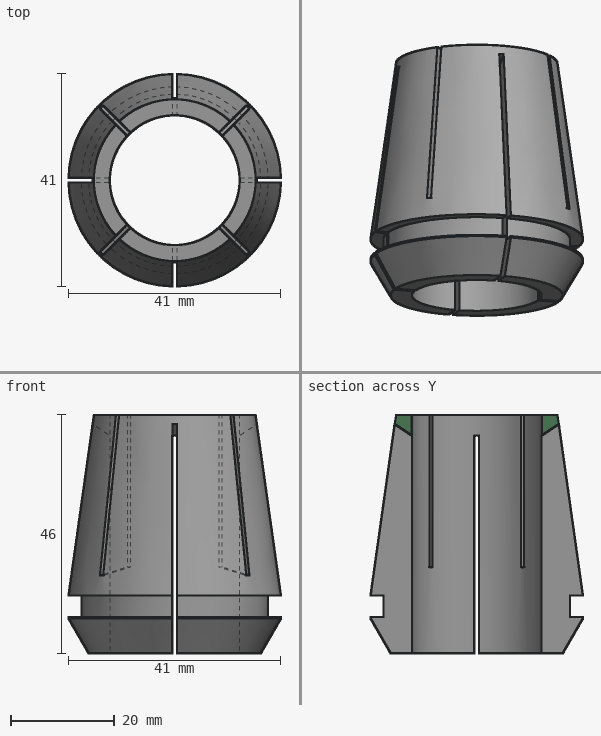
import cadquery as cq
import math

height = 46.0
max_radius = 20.5
bore_radius = 12.5
taper_angle = 8.0
nose_angle = 30.0

nose_height = 6.75
flange_top = 7.05
groove_top = 11.15
groove_radius = 18.05

slit_width = 0.87
slits_per_set = 4
slit_spacing = 360 / slits_per_set
slit_reach = max_radius + 0.45
slit_margin = 0.45
lower_slit_top_at_bore = 42.0
lower_slit_top_outside = 44.25
lower_slit_outside_radius = 15.85
upper_slit_floor_at_bore = 16.65
upper_slit_floor_outside = 15.05
upper_slit_outside_radius = 19.95

nose_radius = max_radius - nose_height * math.tan(math.radians(nose_angle))
top_radius = max_radius - (height - groove_top) * math.tan(math.radians(taper_angle))


def make_body():
    """Revolved tapered sleeve with a straight bore."""
    return (
        cq.Workplane("XZ")
        .moveTo(bore_radius, 0)
        .lineTo(nose_radius, 0)
        .lineTo(max_radius, nose_height)
        .lineTo(max_radius, flange_top)
        .lineTo(groove_radius, flange_top)
        .lineTo(groove_radius, groove_top)
        .lineTo(max_radius, groove_top)
        .lineTo(top_radius, height)
        .lineTo(bore_radius, height)
        .close()
        .revolve(360, (0, 0, 0), (0, 1, 0))
    )


def make_slit(end_at_bore, end_outside, outside_radius, open_end):
    """Cutter along +X whose sloped end passes through the two given heights."""
    slope = (end_outside - end_at_bore) / (outside_radius - bore_radius)

    def end_height(radius):
        return end_at_bore + slope * (radius - bore_radius)

    return (
        cq.Workplane("XZ")
        .moveTo(0, open_end)
        .lineTo(slit_reach, open_end)
        .lineTo(slit_reach, end_height(slit_reach))
        .lineTo(0, end_height(0))
        .close()
        .extrude(slit_width / 2, both=True)
    )


def cut_slits(body, slit, start_angle):
    """Cut one set of evenly spaced slits."""
    for index in range(slits_per_set):
        angle = start_angle + index * slit_spacing
        body = body.cut(slit.rotate((0, 0, 0), (0, 0, 1), angle))
    return body


lower_slit = make_slit(
    lower_slit_top_at_bore,
    lower_slit_top_outside,
    lower_slit_outside_radius,
    -slit_margin,
)
upper_slit = make_slit(
    upper_slit_floor_at_bore,
    upper_slit_floor_outside,
    upper_slit_outside_radius,
    height + slit_margin,
)

result = make_body()
result = cut_slits(result, lower_slit, 0)
result = cut_slits(result, upper_slit, slit_spacing / 2)